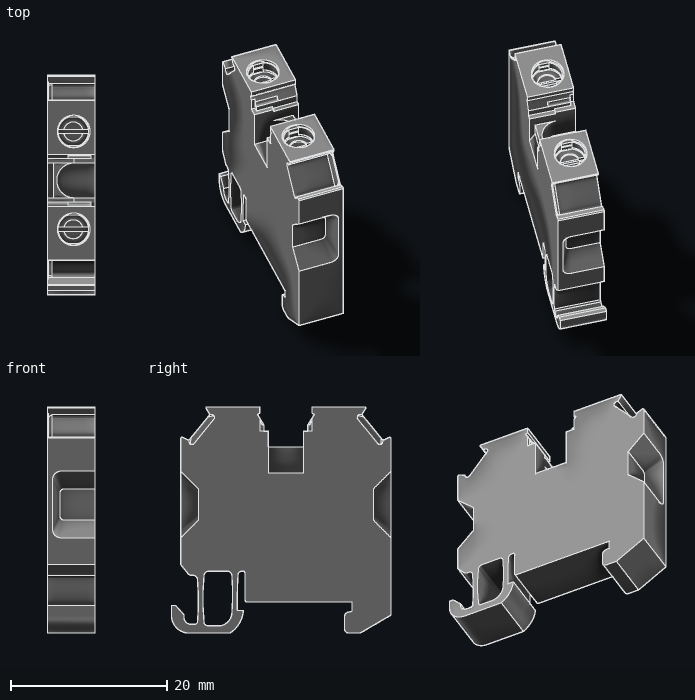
import cadquery as cq
width = 6.1
height = 29.0
half_depth = 13.48

slot_half = 2.23
shelf_outer = 2.78
shelf_low_z = 25.55
shelf_high_z = 25.9
shelf_step_x = 3.42
block_inner = 3.34
block_edge_z = 28.2
inner_groove = (3.62, 28.0)
inner_slope_end = (shelf_outer, 26.65)
block_side_notch_x = 5.6

scoop_start_x = 2.6
scoop_top = (3.13, 27.23)
scoop_middle = (3.13, 26.82)

overhang_tip = (10.27, 28.85)
tip_flat_y = 10.2
rim_upper = (9.75, 28.0)
rim_lower = (12.45, 24.7)
floor_upper = (8.75, 27.98)
floor_lower = (12.25, 23.72)
lip_tip = (13.3, 25.15)
lip_corner_z = 25.0
rim_wall = 0.15
recess_wall = 0.55
rim_corner_radius = 0.23
recess_corner_radius = 0.38

slot_floor_z = 23.87
slope_low_z = 20.53
slope_high_z = 21.85
slope_x = 0.75

funnel_top = 20.75
funnel_bottom = 12.2
funnel_side_x = 0.65
funnel_depth = 2.25
funnel_side_draft = 0.95
funnel_outer_radius = 1.13
funnel_inner_radius = 0.58

screw_y = 6.25
screw_places = (-screw_y, screw_y)
screw_x = 3.3
screw_radius = 1.97
screw_length = 2.32
screw_sink = 2.05
screw_slot_width = 0.55
screw_slot_depth = 0.58
screw_dish_radius = 1.22
screw_dish_depth = 0.23
mouth_x = 3.35
mouth_radius = 2.1
mouth_depth = 0.4
bore_radius = 1.95
bore_depth = 1.7
rail_half_gap = 1.83
rail_chamfer_top = 0.15
rail_groove_start = 1.02
rail_groove_height = 0.2
rail_groove_depth = 0.12

seat_z = 3.97
hook_wall_y = 8.47
hook_tip_y = 7.48
hook_bottom_y = 9.5
hook_slope_z = 2.32

clip_end = half_depth + 1.2
clip_slot_z = 7.92
slit_y = 5.25
latch_z = 2.93
latch_tip_y = 5.42
leg_inner_y = 6.2
leg_outer_y = 11.35
foot_inner_y = 7.15
foot_outer_y = 12.62
foot_floor_z = 1.15
claw_z = 3.57
claw_tip_y = 14.12
claw_root_y = 13.05
clip_curve_z = 2.32
ledge_z = 7.4
ledge_corner_z = 8.8
window_inner_y = 6.93
window_outer_y = 10.47
window_floor_z = 1.0
window_corner_z = 7.37


def prism(points, x_start, x_end):
    """Extrude a closed (Y, Z) polygon along X."""
    return cq.Workplane("YZ").workplane(offset=x_start).polyline(points).close().extrude(x_end - x_start)


def mirrored(shape):
    """Return the shape together with its copy across the XZ plane."""
    return shape.union(shape.mirror("XZ"))


def body_outline():
    """Full-width plate with the hook at +Y and the spring clip at -Y."""
    return (
        cq.Workplane("YZ")
        .moveTo(slot_half, slope_low_z)
        .lineTo(slot_half, shelf_low_z)
        .lineTo(shelf_outer, shelf_low_z)
        .lineTo(*inner_slope_end)
        .lineTo(*inner_groove)
        .lineTo(block_inner, block_edge_z)
        .lineTo(block_inner, height)
        .lineTo(tip_flat_y, height)
        .lineTo(*overhang_tip)
        .lineTo(*rim_upper)
        .lineTo(*rim_lower)
        .lineTo(*lip_tip)
        .lineTo(half_depth, lip_corner_z)
        .lineTo(half_depth, hook_slope_z)
        .lineTo(hook_bottom_y, 0)
        .lineTo(8.05, 0)
        .threePointArc((7.65, 0.17), (hook_tip_y, 0.58))
        .lineTo(hook_tip_y, 2.12)
        .threePointArc((7.68, 2.55), (8.12, 2.73))
        .lineTo(hook_wall_y, 2.8)
        .lineTo(hook_wall_y, seat_z)
        .lineTo(-4.93, seat_z)
        .threePointArc((-5.15, 4.05), (-slit_y, 4.3))
        .lineTo(-slit_y, 7.75)
        .lineTo(-5.36, clip_slot_z)
        .lineTo(-5.68, clip_slot_z)
        .threePointArc((-6.0, 7.77), (-6.12, 7.45))
        .threePointArc((-leg_inner_y, 5.22), (-leg_inner_y, latch_z))
        .lineTo(-latch_tip_y, latch_z)
        .threePointArc((-5.92, 1.3), (-foot_inner_y, 0))
        .lineTo(-foot_outer_y, 0)
        .threePointArc((-14.0, 0.67), (-clip_end, clip_curve_z))
        .lineTo(-clip_end, claw_z)
        .lineTo(-claw_tip_y, claw_z)
        .lineTo(-claw_root_y, 2.38)
        .lineTo(-claw_root_y, 2.03)
        .threePointArc((-12.82, 1.45), (-12.25, foot_floor_z))
        .lineTo(-11.55, foot_floor_z)
        .lineTo(-leg_outer_y, 1.35)
        .threePointArc((-11.22, 3.92), (-leg_outer_y, 6.82))
        .threePointArc((-11.48, 7.22), (-11.8, ledge_z))
        .lineTo(-12.12, ledge_z)
        .threePointArc((-12.38, 7.48), (-12.62, 7.7))
        .lineTo(-half_depth, ledge_corner_z)
        .lineTo(-half_depth, lip_corner_z)
        .lineTo(-lip_tip[0], lip_tip[1])
        .lineTo(-rim_lower[0], rim_lower[1])
        .lineTo(-rim_upper[0], rim_upper[1])
        .lineTo(-overhang_tip[0], overhang_tip[1])
        .lineTo(-tip_flat_y, height)
        .lineTo(-block_inner, height)
        .lineTo(-block_inner, block_edge_z)
        .lineTo(-inner_groove[0], inner_groove[1])
        .lineTo(-inner_slope_end[0], inner_slope_end[1])
        .lineTo(-shelf_outer, shelf_low_z)
        .lineTo(-slot_half, shelf_low_z)
        .lineTo(-slot_half, slope_low_z)
        .close()
        .extrude(width)
    )


def clip_window():
    """Through opening inside the spring clip, with slightly bowed legs."""
    return (
        cq.Workplane("YZ")
        .moveTo(-7.4, clip_slot_z)
        .lineTo(-9.95, clip_slot_z)
        .threePointArc((-10.32, 7.75), (-window_outer_y, window_corner_z))
        .threePointArc((-10.6, 4.5), (-window_outer_y, 1.45))
        .threePointArc((-10.32, 1.1), (-9.98, window_floor_z))
        .lineTo(-8.3, window_floor_z)
        .threePointArc((-7.35, 1.57), (-window_inner_y, 2.58))
        .threePointArc((-6.85, 4.93), (-window_inner_y, window_corner_z))
        .threePointArc((-7.08, 7.75), (-7.4, clip_slot_z))
        .close()
        .extrude(width)
    )


def slot_floor():
    """Raised floor of the tool slot with a sloped entry at -X and a round pocket open at +X."""
    floor = (
        cq.Workplane("XZ")
        .workplane(offset=-slot_half)
        .polyline([
            (0, slope_low_z),
            (slope_x, slope_high_z),
            (slope_x, slot_floor_z),
            (width, slot_floor_z),
            (width, slope_low_z),
        ])
        .close()
        .extrude(2 * slot_half)
    )
    pocket_height = slot_floor_z - slope_low_z
    pocket = (
        cq.Workplane("XY", origin=(0, 0, slope_low_z))
        .moveTo(width, -slot_half)
        .lineTo(shelf_step_x, -slot_half)
        .threePointArc((shelf_step_x - slot_half, 0), (shelf_step_x, slot_half))
        .lineTo(width, slot_half)
        .close()
        .extrude(pocket_height)
    )
    return floor.cut(pocket)


def shelf_step():
    """Higher part of the shelf at the foot of the block."""
    return prism(
        [
            (slot_half, shelf_low_z),
            (slot_half, shelf_high_z),
            (shelf_outer, shelf_high_z),
            (shelf_outer, shelf_low_z),
        ],
        shelf_step_x,
        width,
    )


def block_side_notch():
    """Cut that sets the sloped shoulder back to the block's upright face near +X."""
    return prism(
        [
            (shelf_outer, shelf_high_z),
            (block_inner, shelf_high_z),
            (block_inner, inner_groove[1]),
            (shelf_outer, inner_groove[1]),
        ],
        block_side_notch_x,
        width,
    )


def scoop():
    """Hollow along X in the lower part of the sloped shoulder."""
    return (
        cq.Workplane("YZ")
        .workplane(offset=scoop_start_x)
        .moveTo(*scoop_top)
        .threePointArc(scoop_middle, inner_slope_end)
        .close()
        .extrude(block_side_notch_x - scoop_start_x)
    )


def along_rim(fraction):
    """Point on the sloped rim between its upper and lower corners."""
    return tuple(low * fraction + high * (1 - fraction) for high, low in zip(rim_upper, rim_lower))


def label_recess():
    """Deeper recess behind the rim, undercut at both ends, with a drafted wall and rounded corners."""
    rim_section = [overhang_tip, rim_upper, along_rim(0.1), along_rim(0.9), rim_lower, lip_tip]
    recess_section = [overhang_tip, rim_upper, floor_upper, floor_lower, rim_lower, lip_tip]
    draft = (
        cq.Workplane("YZ")
        .workplane(offset=rim_wall)
        .polyline(rim_section)
        .close()
        .workplane(offset=recess_wall - rim_wall)
        .polyline(recess_section)
        .close()
        .loft(ruled=True, combine=True)
    )
    recess = prism(recess_section, recess_wall, width)
    for corner in (floor_upper, floor_lower):
        point = ((recess_wall + width) / 2, *corner)
        recess = recess.edges(cq.selectors.NearestToPointSelector(point)).fillet(recess_corner_radius)
    return draft.union(recess)


def end_funnel():
    """Wire funnel in the +Y end face, tapering inward and open at +X."""
    middle_z = (funnel_top + funnel_bottom) / 2
    outer_height = funnel_top - funnel_bottom
    inner_height = outer_height - 2 * funnel_depth

    def section(y, x_start, section_height, radius):
        half = section_height / 2
        diagonal = radius * (1 - 0.5 ** 0.5)
        low = middle_z - half
        high = middle_z + half
        return (
            cq.Workplane("XZ", origin=(0, y, 0))
            .moveTo(width, low)
            .lineTo(x_start + radius, low)
            .threePointArc((x_start + diagonal, low + diagonal), (x_start, low + radius))
            .lineTo(x_start, high - radius)
            .threePointArc((x_start + diagonal, high - diagonal), (x_start + radius, high))
            .lineTo(width, high)
            .close()
            .wire()
            .val()
        )

    outer = section(half_depth, funnel_side_x, outer_height, funnel_outer_radius)
    inner = section(
        half_depth - funnel_depth,
        funnel_side_x + funnel_side_draft,
        inner_height,
        funnel_inner_radius,
    )
    return cq.Workplane(cq.Solid.makeLoft([outer, inner], True))


def cylinder(x, y, z_bottom, z_top, radius):
    """Upright cylinder between two heights."""
    return cq.Workplane("XY", origin=(x, y, z_bottom)).circle(radius).extrude(z_top - z_bottom)


def screw_bore(y):
    """Stepped bore for one screw, narrowed by a flat grooved rail at each Y side above the screw."""
    screw_top = height - screw_sink
    bore = cylinder(screw_x, y, height - bore_depth, height, bore_radius)
    seat = cylinder(screw_x, y, screw_top - screw_length, height - bore_depth, screw_radius)
    mouth = cylinder(mouth_x, y, height - mouth_depth, height, mouth_radius)
    rail_depth = mouth_radius - rail_half_gap
    rail_top = height - rail_chamfer_top
    groove_bottom = height - rail_groove_start - rail_groove_height
    rail_profile = [
        (rail_half_gap, screw_top),
        (rail_half_gap, groove_bottom),
        (rail_half_gap + rail_groove_depth, groove_bottom),
        (rail_half_gap, groove_bottom + rail_groove_height),
        (rail_half_gap, rail_top - rail_depth),
        (mouth_radius, rail_top),
        (mouth_radius, screw_top),
    ]
    rails = mirrored(prism(rail_profile, 0, width)).translate((0, y, 0))
    return bore.union(seat).union(mouth).cut(rails)


def make_screw(y):
    """Slotted screw with a shallow round dish in its top."""
    top = height - screw_sink
    dish = cylinder(screw_x, y, top - screw_dish_depth, top, screw_dish_radius)
    slot = cq.Workplane("XY", origin=(screw_x, y, top - screw_slot_depth / 2)).box(
        2 * screw_radius, screw_slot_width, screw_slot_depth
    )
    return cylinder(screw_x, y, top - screw_length, top, screw_radius).cut(dish).cut(slot)


def make_housing():
    body = body_outline()
    rim_corners = [(width / 2, side * y, z) for side in (1, -1) for y, z in (rim_upper, rim_lower)]
    for point in rim_corners:
        body = body.edges(cq.selectors.NearestToPointSelector(point)).fillet(rim_corner_radius)
    body = body.cut(clip_window()).union(slot_floor()).union(mirrored(shelf_step()))
    for feature in (block_side_notch(), scoop(), label_recess(), end_funnel()):
        body = body.cut(mirrored(feature))
    for y in screw_places:
        body = body.cut(screw_bore(y))
    return body


housing = make_housing()
screws = [make_screw(y) for y in screw_places]
result = cq.Compound.makeCompound([housing.val(), *[screw.val() for screw in screws]])